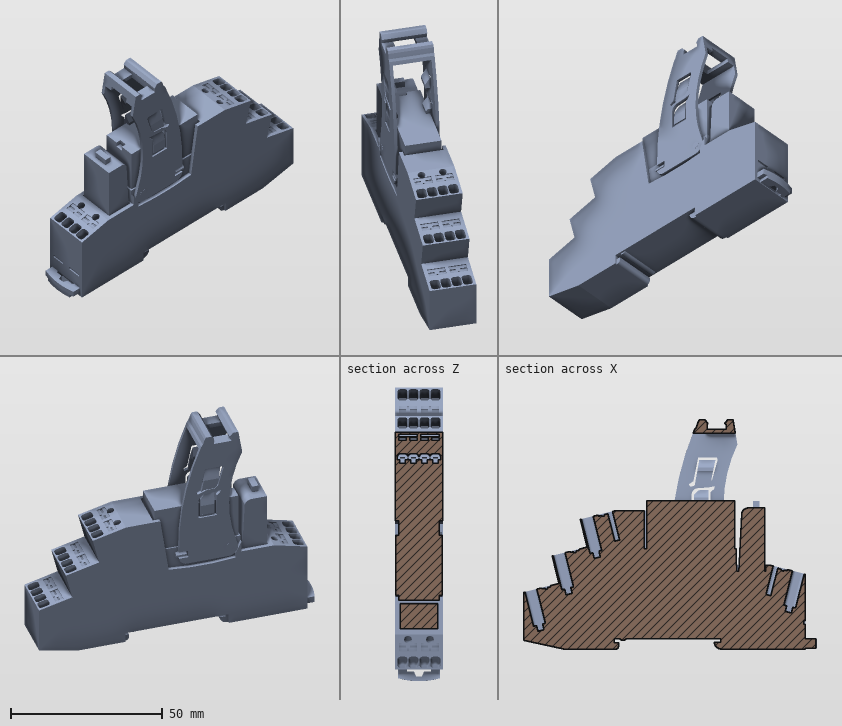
import cadquery as cq
import math


half_width = 7.9
length = 93.0
rail_recess_height = 3.5
rail_front = 27.1
rail_rear = 63.1
rear_base_height = 2.9
rear_base_start = 79.6

tread_count = 3
tread_pitch = 9.3
tread_rise = 12.0
tread_run = 11.5
tread_climb = 2.9
first_tread_height = 18.9
housing_top = first_tread_height + (tread_count - 1) * tread_rise + tread_climb

front_deck = 27.8
front_tread_height = front_deck - tread_climb
core_front = 22.8
core_top = 33.3
core_half = 6.7
recess_head_y = 50.9
recess_foot_y = 48.0
recess_front = 24.8
recess_bottom = 25.8
recess_front_top = 31.7

marker_inner = 1.55
marker_outer = 6.4
marker_bottom = 8.4
marker_top = 9.4
marker_depth = 0.5

hook_half = 7.3
hook_reach = 1.5
rear_hook_height = 2.2
front_hook_height = 2.4
front_hook_tip = 30.1
front_hook_neck = 0.9
rail_pad_front = 59.2
rail_pad_rear = 61.3
rail_pad_drop = 0.6

plug_half = 6.2
plug_clearance = 0.4
relay_front = 23.3
relay_rear = 52.4
relay_top = 49.1
pocket_rear = 53.2
relay_notch_width = 2.7
relay_notch_size = 1.7

module_front = 13.4
module_base_rear = 22.1
module_top_rear = 21.1
module_top = 46.8
module_shoulder_y = 18.8
module_shoulder_z = 45.0
module_corner = 2.5
module_pocket_depth = 1.9
nub_width = 5.0
nub_front = 15.1
nub_length = 2.2
nub_height = 2.2

lever_half = 7.75
lever_inner = 6.6
lever_top = 75.8
bridge_bottom = 71.2
channel_floor = 72.7
channel_lip_bottom = 74.2
channel_lip_tip = 74.5
channel_front = 26.25
channel_rear = 32.35
bridge_slot_width = 7.5
tongue_half = 7.6
tongue_foot_half = 7.2
tongue_tip_half = 6.7
prong_half = 4.7
tongue_foot_height = 1.0
prong_lift = 0.3
prong_height = 1.55
catch_front = 41.65
catch_rear = 45.3
catch_half = 7.6
catch_bottom = 29.8
catch_nose = 30.5
catch_top = 31.6
catch_slot_front = 41.1
catch_slot_bottom = 29.3
catch_slot_top = 31.8
pivot_y = 27.0
pivot_z = 30.4
pivot_radius = 1.3
pivot_half = 7.8

terminal_spacing = 7.3
wire_inset = 2.4
wire_width = 3.3
wire_wall = 0.3
wire_length = 3.9
wire_corner = 1.0
wire_depth = 11.6
clamp_width = 1.6
clamp_length = 1.9
clamp_depth = wire_depth + 1.9
actuator_inset = 7.7
actuator_width = 6.0
actuator_length = 2.9
actuator_depth = 0.4
actuator_groove = 0.7
actuator_pad_width = 1.5
actuator_slit_width = 0.5
actuator_slit_length = 0.8
test_hole_inset = 10.2
test_hole_radius = 1.3
test_hole_depth = 9.7
cutter_overshoot = 0.5

clip_half = 6.9
clip_lower_half = 5.4
clip_bottom = 0.3
clip_step = 1.5
clip_top = 3.6
clip_side_reach = 2.9
clip_reach = 3.9
clip_hole_half = 4.0
clip_slot_depth = 1.9
clip_hole_step = 0.7
clip_notch_mouth = 1.6
clip_notch_floor = 1.0
clip_notch_reach = 2.2


def box(x_min, x_max, y_min, y_max, z_min, z_max):
    block = cq.Workplane("XY").box(x_max - x_min, y_max - y_min, z_max - z_min, centered=False)
    return block.translate((x_min, y_min, z_min))


def centred_box(half, y_min, y_max, z_min, z_max):
    return box(-half, half, y_min, y_max, z_min, z_max)


def side_sketch(x_start=0.0):
    """Sketch plane whose axes are Y and Z; extrusion runs along +X."""
    return cq.Workplane("YZ", origin=(x_start, 0, 0))


def both_sides(solid):
    return solid.union(solid.mirror("YZ"))


def tread_edge(step):
    return length - step * tread_pitch, first_tread_height + step * tread_rise


def housing_block():
    points = [
        (0, 0),
        (rail_front, 0),
        (rail_front, rail_recess_height),
        (rail_rear, rail_recess_height),
        (rail_rear, 0),
        (rear_base_start, 0),
        (length, rear_base_height),
    ]
    for step in range(tread_count):
        edge_y, edge_z = tread_edge(step)
        points += [(edge_y, edge_z), (edge_y - tread_run, edge_z + tread_climb)]
    recess_slant = (recess_head_y - recess_foot_y) / (housing_top - recess_bottom)
    points += [
        (recess_head_y, housing_top),
        (recess_foot_y + recess_slant * (core_top - recess_bottom), core_top),
        (core_front, core_top),
        (core_front, front_deck),
        (tread_run, front_deck),
        (0, front_tread_height),
    ]
    block = side_sketch().polyline(points).close().extrude(half_width, both=True)

    lever_recess = (
        side_sketch(core_half)
        .moveTo(recess_head_y, housing_top)
        .lineTo(recess_foot_y, recess_bottom)
        .threePointArc((35.8, 25.1), (recess_front, recess_bottom))
        .lineTo(recess_front, front_deck)
        .lineTo(core_front, recess_front_top)
        .lineTo(core_front, housing_top)
        .close()
        .extrude(half_width)
    )
    relay_pocket = centred_box(core_half, core_front, pocket_rear, core_top, housing_top)
    module_pocket = centred_box(
        plug_half + plug_clearance,
        module_front - plug_clearance / 2,
        core_front - plug_clearance / 2,
        front_deck - module_pocket_depth,
        front_deck,
    )
    return block.cut(both_sides(lever_recess)).cut(relay_pocket).cut(module_pocket)


def marker_slots():
    return both_sides(box(marker_inner, marker_outer, 0, marker_depth, marker_bottom, marker_top))


def clip_slot():
    return centred_box(clip_hole_half, 0, clip_slot_depth, clip_bottom, clip_top)


def rail_hooks():
    rear_hook = (
        side_sketch()
        .moveTo(rail_rear, 0)
        .lineTo(rail_rear, rear_hook_height)
        .lineTo(rail_rear - hook_reach, rear_hook_height)
        .lineTo(rail_rear - hook_reach, rear_hook_height / 2)
        .threePointArc((61.9, 0.4), (62.7, 0))
        .close()
        .extrude(hook_half, both=True)
    )
    front_hook = (
        side_sketch()
        .moveTo(rail_front, 0)
        .lineTo(27.7, 0)
        .threePointArc((29.3, 0.6), (front_hook_tip, 1.9))
        .lineTo(front_hook_tip, front_hook_height)
        .lineTo(rail_front + front_hook_neck, front_hook_height)
        .lineTo(rail_front + front_hook_neck, rail_recess_height)
        .lineTo(rail_front, rail_recess_height)
        .close()
        .extrude(hook_half, both=True)
    )
    pad_middle = (rail_pad_front + rail_pad_rear) / 2
    pad = (
        side_sketch()
        .moveTo(rail_pad_front, rail_recess_height)
        .threePointArc((pad_middle, rail_recess_height - rail_pad_drop), (rail_pad_rear, rail_recess_height))
        .close()
        .extrude(hook_half, both=True)
    )
    return rear_hook.union(front_hook).union(pad)


def terminal_cutter(edge_y, edge_z, inward, with_test_holes):
    """Openings sunk square to a tread; inward is +1 or -1, the way Y runs from its outer edge."""
    slope = math.atan2(tread_climb, tread_run)
    tread = cq.Plane(
        origin=(0, edge_y, edge_z),
        xDir=(1, 0, 0),
        normal=(0, -inward * math.sin(slope), math.cos(slope)),
    )

    def sunk_block(x, inset, size_x, size_y, depth):
        sketch = cq.Workplane(tread).workplane(offset=cutter_overshoot).center(x, inward * inset)
        return sketch.rect(size_x, size_y).extrude(-depth - cutter_overshoot)

    cutter = None
    for terminal_x in (-terminal_spacing / 2, terminal_spacing / 2):
        frame = sunk_block(
            terminal_x, actuator_inset, actuator_width, actuator_length, actuator_depth
        )
        groove = sunk_block(
            terminal_x, actuator_inset, actuator_width, actuator_groove, 2 * actuator_depth
        )
        pad = sunk_block(
            terminal_x, actuator_inset, actuator_pad_width, actuator_length, 2 * actuator_depth
        )
        slit_inset = actuator_inset - (actuator_length - actuator_slit_length) / 2
        slit = sunk_block(
            terminal_x, slit_inset, actuator_slit_width, actuator_slit_length, 2 * actuator_depth
        )
        terminal = frame.union(groove.cut(pad)).union(slit)

        for side in (-1, 1):
            wire_x = terminal_x + side * (wire_width + wire_wall) / 2
            funnel = sunk_block(wire_x, wire_inset, wire_width, wire_length, wire_depth)
            funnel = funnel.edges(cq.selectors.ParallelDirSelector(tread.zDir)).fillet(wire_corner)
            clamp = sunk_block(wire_x, wire_inset, clamp_width, clamp_length, clamp_depth)
            terminal = terminal.union(funnel).union(clamp)

        if with_test_holes:
            hole = (
                cq.Workplane(tread)
                .workplane(offset=cutter_overshoot)
                .center(terminal_x, inward * test_hole_inset)
                .circle(test_hole_radius)
                .extrude(-test_hole_depth - cutter_overshoot)
            )
            terminal = terminal.union(hole)
        cutter = terminal if cutter is None else cutter.union(terminal)
    return cutter


def housing():
    body = housing_block().cut(marker_slots()).cut(clip_slot()).union(rail_hooks())
    for step in range(tread_count):
        edge_y, edge_z = tread_edge(step)
        is_top_tread = step == tread_count - 1
        body = body.cut(terminal_cutter(edge_y, edge_z, -1, is_top_tread))
    return body.cut(terminal_cutter(0, front_tread_height, 1, True))


def relay():
    case = centred_box(plug_half, relay_front, relay_rear, core_top, relay_top)
    notch = centred_box(
        relay_notch_width / 2,
        relay_front,
        relay_front + relay_notch_size,
        relay_top - relay_notch_size,
        relay_top,
    )
    return case.cut(notch)


def indicator_module():
    case = (
        side_sketch()
        .moveTo(module_front, front_deck - module_pocket_depth)
        .lineTo(module_front, module_top)
        .lineTo(module_shoulder_y, module_top)
        .radiusArc((module_top_rear, module_shoulder_z), module_corner)
        .lineTo(module_base_rear, front_deck - module_pocket_depth)
        .close()
        .extrude(plug_half, both=True)
    )
    nub = centred_box(
        nub_width / 2, nub_front, nub_front + nub_length, module_top, module_top + nub_height
    )
    return case.union(nub)


def lever_profile():
    return (
        side_sketch()
        .moveTo(35.1, lever_top)
        .lineTo(33.1, lever_top)
        .lineTo(32.2, channel_lip_tip)
        .lineTo(channel_rear, channel_lip_bottom)
        .lineTo(channel_rear, channel_floor)
        .lineTo(channel_front, channel_floor)
        .lineTo(channel_front, channel_lip_bottom)
        .lineTo(26.8, channel_lip_tip)
        .lineTo(25.7, lever_top)
        .lineTo(23.8, lever_top)
        .lineTo(22.5, 67.6)
        .threePointArc((27.0, 47.9), (24.8, 33.6))
        .lineTo(24.1, 31.3)
        .threePointArc((24.6, 28.1), (27.2, 26.7))
        .lineTo(41.9, 26.7)
        .threePointArc((43.6, 27.6), (44.4, 29.3))
        .lineTo(44.4, 32.2)
        .threePointArc((42.1, 55.1), (36.7, 72.45))
        .lineTo(36.1, 73.2)
        .lineTo(35.5, 75.0)
        .close()
        .extrude(lever_half, both=True)
    )


def upper_window():
    return (
        side_sketch()
        .polyline([
            (35.45, 63.25), (29.3, 63.25), (29.0, 62.7), (30.8, 56.0), (31.9, 54.9),
            (35.2, 54.7), (36.3, 54.1), (38.0, 53.7), (38.55, 54.4), (37.0, 55.5),
        ])
        .close()
        .extrude(lever_half)
    )


def lower_window():
    return (
        side_sketch()
        .moveTo(37.6, 44.1)
        .lineTo(37.6, 50.85)
        .threePointArc((37.1, 52.4), (35.7, 53.2))
        .lineTo(32.0, 53.5)
        .lineTo(29.8, 53.9)
        .lineTo(30.2, 52.9)
        .lineTo(31.3, 51.9)
        .lineTo(31.3, 44.1)
        .close()
        .extrude(lever_half)
    )


def tongue(outline, foot_z, knee_z, tip_z):
    """Spring tongue standing in a window, with a prong pointing inward at its free end."""
    section = [
        (lever_inner, foot_z - tongue_foot_height),
        (tongue_foot_half, foot_z - tongue_foot_height),
        (tongue_foot_half, foot_z),
        (tongue_half, foot_z),
        (tongue_half, knee_z),
        (tongue_tip_half, tip_z),
        (lever_inner, tip_z),
        (prong_half, knee_z + prong_height),
        (prong_half, knee_z + prong_lift),
        (lever_inner, knee_z + prong_lift),
    ]
    bar = cq.Workplane("XZ").polyline(section).close().extrude(-length)
    return side_sketch().polyline(outline).close().extrude(lever_half).intersect(bar)


def lever():
    frame = lever_profile().cut(centred_box(lever_inner, 0, length, 0, bridge_bottom))
    frame = frame.cut(
        centred_box(bridge_slot_width / 2, 0, channel_rear, bridge_bottom, channel_floor)
    )
    catch_slot = box(
        lever_inner, lever_half, catch_slot_front, catch_rear, catch_slot_bottom, catch_slot_top
    )
    frame = frame.cut(both_sides(upper_window().union(lower_window()).union(catch_slot)))

    upper_tongue = tongue(
        [(35.1, 62.5), (29.7, 62.5), (31.4, 54.6), (36.6, 53.9)],
        foot_z=54.8,
        knee_z=58.5,
        tip_z=62.5,
    )
    lower_tongue = tongue(
        [(36.8, 44.0), (36.8, 50.9), (35.4, 52.5), (32.0, 52.7), (32.0, 44.0)],
        foot_z=45.0,
        knee_z=48.6,
        tip_z=52.7,
    )
    catch = (
        cq.Workplane("XZ", origin=(0, catch_front, 0))
        .polyline([
            (lever_inner, catch_top), (catch_half, catch_nose),
            (catch_half, catch_bottom), (lever_inner, catch_bottom),
        ])
        .close()
        .extrude(catch_front - catch_rear)
    )
    pivot = side_sketch(lever_inner).center(pivot_y, pivot_z).circle(pivot_radius)
    pivot = pivot.extrude(pivot_half - lever_inner)
    return frame.union(both_sides(upper_tongue.union(lower_tongue).union(catch).union(pivot)))


def rail_clip():
    plate = (
        cq.Workplane("XY", origin=(0, 0, clip_bottom))
        .moveTo(-clip_half, 0)
        .lineTo(-clip_half, -clip_side_reach)
        .threePointArc((0, -clip_reach), (clip_half, -clip_side_reach))
        .lineTo(clip_half, 0)
        .close()
        .extrude(clip_top - clip_bottom)
    )
    relief = box(clip_lower_half, clip_half, -clip_reach, 0, clip_bottom, clip_step)
    grip_hole = (
        cq.Workplane("XY")
        .polyline([
            (-clip_hole_half, 0),
            (-clip_hole_half, -clip_hole_step),
            (-clip_notch_mouth, -clip_hole_step),
            (-clip_notch_floor, -clip_notch_reach),
            (clip_notch_floor, -clip_notch_reach),
            (clip_notch_mouth, -clip_hole_step),
            (clip_hole_half, -clip_hole_step),
            (clip_hole_half, 0),
        ])
        .close()
        .extrude(clip_top)
    )
    return plate.cut(both_sides(relief)).cut(grip_hole)


result = housing().union(relay()).union(indicator_module()).union(lever()).union(rail_clip())